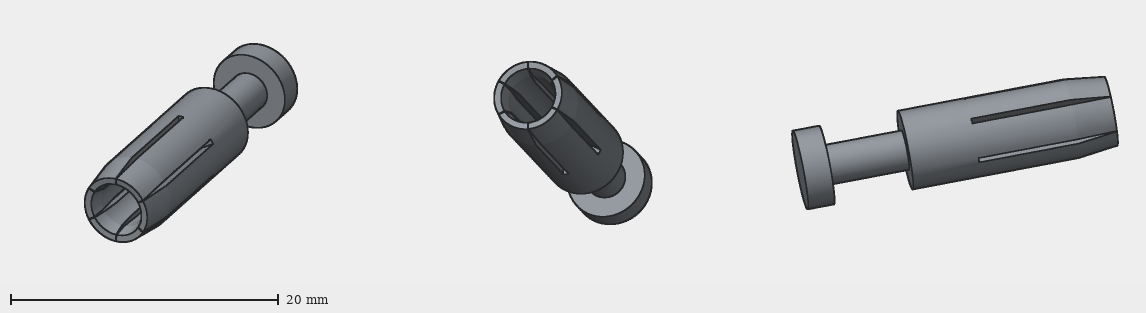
import cadquery as cq

total_length = 23.7
head_length = 2.01
neck_length = 6.0
slot_length = 10.6
taper_length = 3.0
bore_depth = slot_length
mouth_depth = 1.18
rim_recess = 0.07

body_diameter = 6.0
neck_diameter = 3.0
tip_diameter = 5.25
mouth_diameter = 4.22
bore_diameter = 3.7

slot_count = 6
slot_width = 0.4
slot_tip_width = 0.05

body_length = total_length - head_length - neck_length


def turned_pin():
    """Revolve the head, neck and hollow tapered body about the Y axis."""
    body_radius = body_diameter / 2
    neck_radius = neck_diameter / 2
    neck_end = body_length + neck_length
    return (
        cq.Workplane("XY")
        .moveTo(mouth_diameter / 2, rim_recess)
        .lineTo(tip_diameter / 2, 0)
        .lineTo(body_radius, taper_length)
        .lineTo(body_radius, body_length)
        .lineTo(neck_radius, body_length)
        .lineTo(neck_radius, neck_end)
        .lineTo(body_radius, neck_end)
        .lineTo(body_radius, total_length)
        .lineTo(0, total_length)
        .lineTo(0, bore_depth)
        .lineTo(bore_diameter / 2, bore_depth)
        .lineTo(bore_diameter / 2, mouth_depth)
        .close()
        .revolve(360, (0, 0, 0), (0, 1, 0))
    )


def slot_cutter():
    """One radial slot above the axis, narrowing along the tapered tip."""
    return (
        cq.Workplane("XY")
        .moveTo(-slot_tip_width / 2, 0)
        .lineTo(slot_tip_width / 2, 0)
        .lineTo(slot_width / 2, taper_length)
        .lineTo(slot_width / 2, slot_length)
        .lineTo(-slot_width / 2, slot_length)
        .lineTo(-slot_width / 2, taper_length)
        .close()
        .extrude(body_diameter)
    )


result = turned_pin()
for slot_index in range(slot_count):
    slot_angle = slot_index * 360 / slot_count
    result = result.cut(slot_cutter().rotate((0, 0, 0), (0, 1, 0), slot_angle))

result = result.translate((0, -total_length / 2, 0))